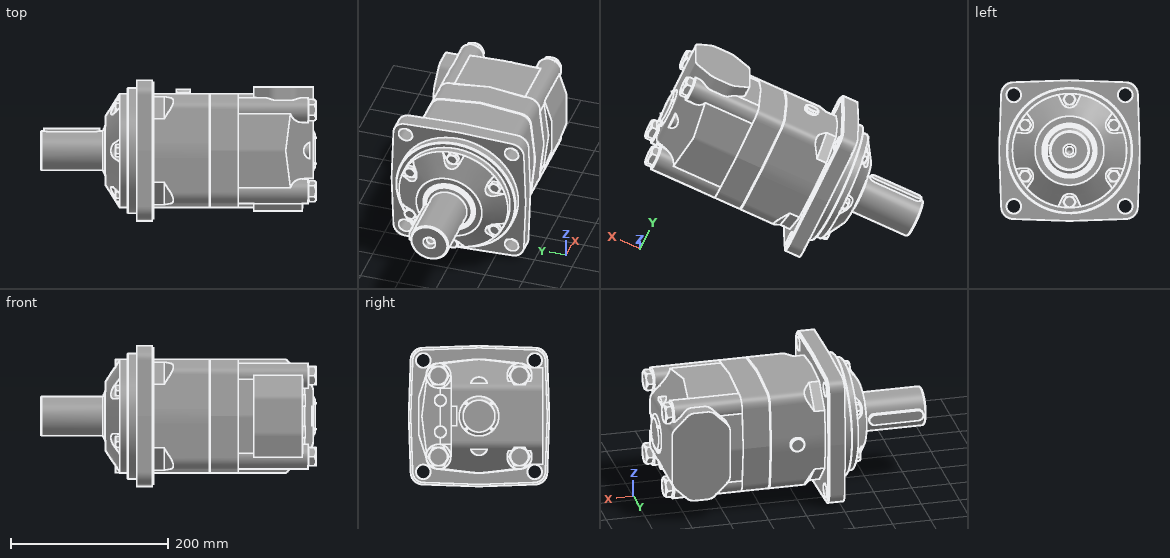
import cadquery as cq
import math


shaft_end_x = 79.0
seal_lip_x = 81.3
cover_front_x = 82.5
cover_rim_x = 100.5
pilot_x = 110.0
flange_x = 122.0
flange_step_x = 142.0
flange_back_x = 143.7
seal_gap_x = 214.5
gear_ring_x = 215.5
rear_x = 251.3
rear_face_x = 333.5
boss_end_x = 340.0
block_end_x = 346.5
overall_length = 350.5

peak_height = 72.5
corner_reach = 66.0
corner_radius = 15.8
housing_crown_radius = 87.5
seal_gap_depth = 0.7
rear_corner_reach = 64.5
rear_corner_radius = 12.3
rear_crown_radius = 14.0

shaft_diameter = 50.0
shaft_radius = shaft_diameter / 2
shaft_chamfer = 1.5
collar_diameter = 60.0
collar_radius = collar_diameter / 2
center_drill_diameter = 10.0
center_mouth_diameter = 16.5
center_drill_depth = 28.0
center_mouth_half_angle = 30
drill_tip_half_angle = 60
key_start_x = 4.2
key_length = 70.8
key_width = 14.0
key_bottom = 19.5
key_top = 28.5

cover_radius = 72.5
cover_nose_radius = 43.8
seal_outer_radius = 34.7
seal_inner_radius = 33.3
seal_lip_radius = 31.5
seal_outer_depth = 1.0
seal_inner_depth = 2.5
screw_count = 6
screw_circle_radius = 65.2
screw_head_flats = 13.5
screw_head_height = 5.5
screw_pocket_radius = 10.5
screw_pocket_flare = 25.0

pilot_radius = 80.0
pilot_chamfer = 1.0
flange_width = 179.0
flange_peak = flange_width / 2
flange_corner_reach = 86.5
flange_corner_radius = 16.0
flange_step = 2.8
flange_hole_place = 70.8
flange_hole_diameter = 18.2
nut_flat_distance = 77.0
nut_flat_end_x = 157.0

plug_x = 181.2
plug_head_radius = 9.0
plug_neck_radius = 7.7
plug_seat = 69.0
plug_head_bottom = 74.3
plug_top = 78.0
plug_chamfer = 0.7

bolt_place = 51.5
bolt_head_flats = 23.5
bolt_head_start_x = 341.0
bolt_head_end_x = 350.0
bolt_washer_radius = 11.2
block_start_x = 270.5
block_half_height = 61.5
block_chamfer = 24.0
block_fillet = 14.0
block_low_y = -35.5
block_high_y = 81.0
pad_end_x = 332.5
pad_face_y = -76.8
pad_face_half_height = 23.0
pad_edge_y = -67.3
pad_edge_half_height = 52.2
pad_root_y = -56.0
pad_fillet = 14.0
stub_radius = 11.0
stub_axis_z = 39.0
stub_start_x = 326.0
stub_end_x = 342.0
ledge_end_x = 335.5
ledge_low_y = -49.0
ledge_half_height = 35.8
small_stub_radius = 7.5
small_stub_place_z = 20.0
small_stub_end_x = 336.5
slot_half_width = 12.3
slot_depth = 2.0
slot_length = 7.0

cap_base_radius = 25.2
cap_face_radius = 20.5
cap_face_x = 349.0
pin_place = 16.5
pin_base_radius = 1.8
pin_tip_radius = 0.5

HEAD_CHAMFER_SHARE = 0.08
SHAFT_AXIS = ((0, 0, 0), (1, 0, 0))
RIGHT_ANGLES = [0, 90, 180, 270]


def plane_across_shaft(x):
    return cq.Workplane("YZ", origin=(x, 0, 0))


def shaft_cylinder(start_x, end_x, radius, y=0.0, z=0.0):
    return plane_across_shaft(start_x).center(y, z).circle(radius).extrude(end_x - start_x)


def turned(profile):
    """Solid turned about the shaft axis from (x, radius) points."""
    return cq.Workplane("XY").polyline(profile).close().revolve(360, *SHAFT_AXIS)


def box_between(start, end):
    size = [high - low for low, high in zip(start, end)]
    return cq.Workplane("XY").box(*size, centered=False).translate(start)


def hexagon_head(seat_x, end_x, flats, y, z):
    """Hexagon head from its seat to its free end, with the corners of the free end turned down."""
    across_corners = flats / math.cos(math.pi / 6)
    hexagon = plane_across_shaft(seat_x).center(y, z).polygon(6, across_corners).extrude(end_x - seat_x)
    blank = shaft_cylinder(seat_x, end_x, across_corners / 2, y, z)
    free_end = ">X" if end_x > seat_x else "<X"
    return hexagon.intersect(blank.faces(free_end).chamfer(HEAD_CHAMFER_SHARE * across_corners))


def four_corners(place):
    return [(y, z) for y in (-place, place) for z in (-place, place)]


def is_corner_edge(edge):
    center = edge.Center()
    return abs(abs(center.y) - abs(center.z)) < corner_radius


def peaked_square(start_x, end_x, peak, reach, radius, crown_radius=None):
    """Square prism along X with slightly peaked sides, rounded corners and optionally rounded peaks."""
    tip = peak
    if crown_radius:
        slope = math.atan((peak - reach) / reach)
        tip = peak + crown_radius * (1 / math.cos(slope) - 1)
    outline = [
        (tip, 0), (reach, reach), (0, tip), (-reach, reach),
        (-tip, 0), (-reach, -reach), (0, -tip), (reach, -reach),
    ]
    prism = plane_across_shaft(start_x).polyline(outline).close().extrude(end_x - start_x)
    prism = prism.edges("|X").filter(is_corner_edge).fillet(radius)
    if crown_radius:
        for peak_side in (">Y", "<Y", ">Z", "<Z"):
            prism = prism.edges("|X").edges(peak_side).fillet(crown_radius)
    return prism


def make_key():
    """Parallel key with round ends, lying on the +Y side of the shaft."""
    key_center_x = key_start_x + key_length / 2
    return (
        cq.Workplane("XZ", origin=(key_center_x, key_bottom, 0))
        .slot2D(key_length, key_width)
        .extrude(key_bottom - key_top)
    )


def make_shaft(key):
    profile = [
        (0, 0), (0, shaft_radius - shaft_chamfer), (shaft_chamfer, shaft_radius),
        (shaft_end_x, shaft_radius), (seal_lip_x, collar_radius), (pilot_x, collar_radius), (pilot_x, 0),
    ]
    shaft = turned(profile)
    drill_radius = center_drill_diameter / 2
    mouth_radius = center_mouth_diameter / 2
    mouth_depth = (mouth_radius - drill_radius) / math.tan(math.radians(center_mouth_half_angle))
    tip_length = drill_radius / math.tan(math.radians(drill_tip_half_angle))
    center_hole = [
        (0, 0), (0, mouth_radius), (mouth_depth, drill_radius),
        (center_drill_depth, drill_radius), (center_drill_depth + tip_length, 0),
    ]
    drill = turned(center_hole)
    return shaft.cut(drill).cut(key)


def screw_pocket():
    """Pocket at the top of the cover, round toward the axis and flaring outward."""
    flare = math.radians(screw_pocket_flare)
    tangent_y = screw_pocket_radius * math.cos(flare)
    tangent_z = screw_circle_radius - screw_pocket_radius * math.sin(flare)
    outer_z = cover_radius + screw_pocket_radius
    outer_y = tangent_y + (outer_z - tangent_z) * math.tan(flare)
    return (
        plane_across_shaft(cover_front_x)
        .moveTo(-outer_y, outer_z)
        .lineTo(-tangent_y, tangent_z)
        .threePointArc((0, screw_circle_radius - screw_pocket_radius), (tangent_y, tangent_z))
        .lineTo(outer_y, outer_z)
        .close()
        .extrude(cover_rim_x - cover_front_x)
    )


def make_front_cover():
    profile = [
        (cover_front_x, seal_outer_radius), (cover_front_x, cover_nose_radius),
        (cover_rim_x, cover_radius), (pilot_x, cover_radius), (pilot_x, collar_radius),
        (seal_lip_x, collar_radius), (seal_lip_x, seal_lip_radius),
        (cover_front_x + seal_inner_depth, seal_lip_radius),
        (cover_front_x + seal_inner_depth, seal_inner_radius),
        (cover_front_x + seal_outer_depth, seal_inner_radius),
        (cover_front_x + seal_outer_depth, seal_outer_radius),
    ]
    cover = turned(profile)
    pocket = screw_pocket()
    head_end_x = cover_rim_x - screw_head_height
    screw = hexagon_head(cover_rim_x, head_end_x, screw_head_flats, 0, screw_circle_radius)
    for index in range(screw_count):
        angle = index * 360 / screw_count
        cover = cover.cut(pocket.rotate(*SHAFT_AXIS, angle))
        cover = cover.union(screw.rotate(*SHAFT_AXIS, angle))
    return cover


def nut_clearance():
    """Cutter for one corner: a flat facing +Z before turning, ending in a 45 degree ramp."""
    depth = peak_height * math.sqrt(2) - nut_flat_distance
    profile = [
        (flange_back_x, nut_flat_distance), (nut_flat_end_x, nut_flat_distance),
        (nut_flat_end_x + depth, nut_flat_distance + depth), (flange_back_x, nut_flat_distance + depth),
    ]
    return cq.Workplane("XZ").polyline(profile).close().extrude(peak_height, both=True)


def make_housing(drain_plug):
    pilot = shaft_cylinder(pilot_x, flange_x, pilot_radius).faces("<X").chamfer(pilot_chamfer)
    flange = peaked_square(flange_x, flange_step_x, flange_peak, flange_corner_reach, flange_corner_radius)
    step = peaked_square(
        flange_step_x, flange_back_x, flange_peak - flange_step,
        flange_corner_reach - flange_step, flange_corner_radius - flange_step,
    )
    body = peaked_square(
        flange_back_x, seal_gap_x, peak_height, corner_reach, corner_radius, housing_crown_radius
    )
    seal = peaked_square(
        seal_gap_x, gear_ring_x, peak_height - seal_gap_depth,
        corner_reach - seal_gap_depth, corner_radius - seal_gap_depth,
    )
    clearance = nut_clearance()
    for angle in RIGHT_ANGLES:
        body = body.cut(clearance.rotate(*SHAFT_AXIS, angle + 45))
    holes = (
        plane_across_shaft(flange_x)
        .pushPoints(four_corners(flange_hole_place))
        .circle(flange_hole_diameter / 2)
        .extrude(flange_back_x - flange_x)
    )
    return pilot.union(flange).union(step).cut(holes).union(body).union(seal).cut(drain_plug)


def make_drain_plug():
    neck = cq.Workplane("XZ", origin=(plug_x, plug_seat, 0)).circle(plug_neck_radius)
    neck = neck.extrude(plug_seat - plug_head_bottom)
    head = cq.Workplane("XZ", origin=(plug_x, plug_head_bottom, 0)).circle(plug_head_radius)
    head = head.extrude(plug_head_bottom - plug_top).faces(">Y").chamfer(plug_chamfer)
    return neck.union(head)


def make_gear_ring():
    return peaked_square(gear_ring_x, rear_x, peak_height, corner_reach, corner_radius)


def port_block():
    """Block through the rear housing that carries the +Y port face and the rear end face."""
    block = box_between(
        (block_start_x, block_low_y, -block_half_height),
        (block_end_x, block_high_y, block_half_height),
    )
    block = block.edges("|Y").chamfer(block_chamfer).edges("|Y").fillet(block_fillet)
    slot = box_between(
        (block_end_x - slot_depth, block_low_y, -slot_half_width),
        (block_end_x, block_low_y + slot_length, slot_half_width),
    )
    return block.cut(slot)


def port_pad():
    """Pad with sloping shoulders on the -Y side."""
    outline = [
        (pad_root_y, pad_edge_half_height), (pad_edge_y, pad_edge_half_height),
        (pad_face_y, pad_face_half_height), (pad_face_y, -pad_face_half_height),
        (pad_edge_y, -pad_edge_half_height), (pad_root_y, -pad_edge_half_height),
    ]
    pad = plane_across_shaft(block_start_x).polyline(outline).close().extrude(pad_end_x - block_start_x)
    return pad.edges("|X").edges("<Y").fillet(pad_fillet)


def end_ledge():
    """Low step between the rear face and the -Y side of the block."""
    return box_between(
        (stub_start_x, ledge_low_y, -ledge_half_height),
        (ledge_end_x, block_low_y, ledge_half_height),
    )


def end_slope():
    """Cutter above the 45 degree slope that runs flush with the block's upper rear chamfer."""
    slope_sum = block_end_x + block_half_height - block_chamfer
    profile = [
        (slope_sum - peak_height, peak_height), (overall_length, peak_height),
        (overall_length, slope_sum - overall_length),
    ]
    return cq.Workplane("XZ").polyline(profile).close().extrude(peak_height, both=True)


def make_rear_housing():
    rear = peaked_square(
        rear_x, rear_face_x, peak_height, rear_corner_reach, rear_corner_radius, rear_crown_radius
    )
    slope = end_slope()
    rear = rear.cut(slope).cut(slope.mirror("XY"))
    rear = rear.union(port_block()).union(port_pad()).union(end_ledge())
    for side in (1, -1):
        rear = rear.union(shaft_cylinder(stub_start_x, stub_end_x, stub_radius, z=side * stub_axis_z))
        small_stub_z = side * small_stub_place_z
        rear = rear.union(
            shaft_cylinder(stub_start_x, small_stub_end_x, small_stub_radius, ledge_low_y, small_stub_z)
        )
    for y, z in four_corners(bolt_place):
        rear = rear.union(shaft_cylinder(rear_x, boss_end_x, corner_radius, y, z))
        rear = rear.union(shaft_cylinder(boss_end_x, bolt_head_start_x, bolt_washer_radius, y, z))
        rear = rear.union(hexagon_head(bolt_head_start_x, bolt_head_end_x, bolt_head_flats, y, z))
    return rear


def make_end_cap():
    cap_profile = [
        (block_end_x, 0), (block_end_x, cap_base_radius), (cap_face_x, cap_face_radius), (cap_face_x, 0),
    ]
    pin_profile = [
        (block_end_x, 0), (block_end_x, pin_base_radius),
        (overall_length, pin_tip_radius), (overall_length, 0),
    ]
    cap = turned(cap_profile)
    pin = turned(pin_profile)
    for y, z in four_corners(pin_place):
        cap = cap.union(pin.translate((0, y, z)))
    return cap


key = make_key()
shaft = make_shaft(key)
front_cover = make_front_cover()
drain_plug = make_drain_plug()
housing = make_housing(drain_plug)
gear_ring = make_gear_ring()
rear_housing = make_rear_housing()
end_cap = make_end_cap()

result = cq.Compound.makeCompound([
    key.val(),
    shaft.val(),
    front_cover.val(),
    drain_plug.val(),
    housing.val(),
    gear_ring.val(),
    rear_housing.val(),
    end_cap.val(),
])